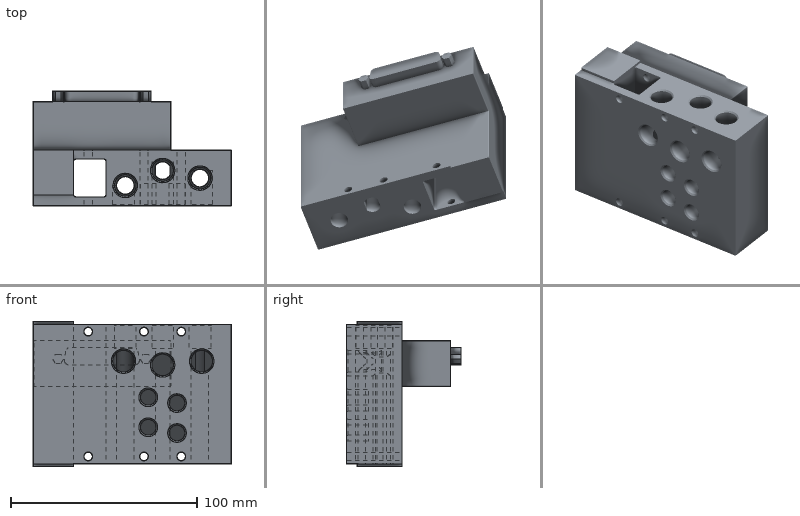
import cadquery as cq
import math

block_length = 106.7
block_depth = 30.0
block_height = 75.0
edge_radius = 0.5

plate_length = 21.9
plate_depth = 24.2
plate_thickness = 1.5
plate_edge_radius = 0.3

window_length = 17.3
window_depth = 20.2
window_front = 4.9
window_corner_radius = 1.0

housing_length = 74.0
housing_depth = 26.0
housing_base = 41.5
housing_height = 24.6
housing_back = block_depth + housing_depth

connector_projection = 5.7
shell_base = 53.1
shell_height = 9.5
shell_lower_width = 41.4
shell_side_angle = math.radians(10)
shell_corner_radius = 2.6
post_across_flats = 5.0
post_spacing = 47.1
post_height = 56.3

mount_diameter = 4.5
mount_x = (29.7, 59.6, 79.7)
mount_edge_distance = 4.0

large_port_diameter = 11.6
large_port_mouth = 13.1
small_port_diameter = 8.4
small_port_mouth = 10.0

passage_diameter = 9.4
passage_port_depth = 13.0
passage_spacing = 20.1
middle_x = 69.7
left_passage_y = 11.0
middle_passage_y = 19.0
right_passage_y = 14.9
middle_passage_width = 7.8

outer_port_spacing = 21.0
outer_port_z = 55.2
middle_port_z = 53.1
middle_port_depth = middle_passage_y + passage_diameter / 2
small_port_depth = 12.0
small_port_column_spacing = 15.5
left_column_z = 35.7
right_column_z = 32.7
small_port_pitch = 16.1


def box_at(x, y, z, length, depth, height):
    """Box with its lowest corner at (x, y, z)."""
    return cq.Workplane("XY").box(length, depth, height, centered=False).translate((x, y, z))


def port_cutter(diameter, mouth_diameter, depth):
    """Blind hole with a 45 degree mouth, opening at the origin and running toward -Z."""
    radius = diameter / 2
    mouth_radius = mouth_diameter / 2
    return (
        cq.Workplane("XZ")
        .polyline([
            (0, 0),
            (mouth_radius, 0),
            (radius, radius - mouth_radius),
            (radius, -depth),
            (0, -depth),
        ])
        .close()
        .revolve(360, (0, 0), (0, 1))
    )


def front_port(x, z, diameter, mouth_diameter, depth):
    """Port opening on the front face and running toward +Y."""
    cutter = port_cutter(diameter, mouth_diameter, depth)
    return cutter.rotate((0, 0, 0), (1, 0, 0), 90).translate((x, 0, z))


def vertical_passage(x, y, width):
    """Top port continued to the underside; a width below the bore diameter leaves two flats."""
    bore = cq.Workplane("XY").circle(passage_diameter / 2).extrude(block_height)
    flats = cq.Workplane("XY").rect(width, passage_diameter).extrude(block_height)
    port = port_cutter(large_port_diameter, large_port_mouth, passage_port_depth)
    return bore.intersect(flats).union(port.translate((0, 0, block_height))).translate((x, y, 0))


block = box_at(0, 0, 0, block_length, block_depth, block_height).edges("|Z").fillet(edge_radius)
for plate_z in (-plate_thickness, block_height):
    plate = box_at(0, block_depth - plate_depth, plate_z, plate_length, plate_depth, plate_thickness)
    block = block.union(plate.edges("|Z and <Y").fillet(plate_edge_radius))

window = (
    box_at(plate_length, window_front, 0, window_length, window_depth, block_height)
    .edges("|Z")
    .fillet(window_corner_radius)
)
block = block.cut(window)

passages = (
    (middle_x - passage_spacing, left_passage_y, passage_diameter),
    (middle_x, middle_passage_y, middle_passage_width),
    (middle_x + passage_spacing, right_passage_y, passage_diameter),
)
for x, y, width in passages:
    block = block.cut(vertical_passage(x, y, width))

large_ports = (
    (middle_x - outer_port_spacing, outer_port_z, left_passage_y),
    (middle_x, middle_port_z, middle_port_depth),
    (middle_x + outer_port_spacing, outer_port_z, middle_passage_y),
)
for x, z, depth in large_ports:
    block = block.cut(front_port(x, z, large_port_diameter, large_port_mouth, depth))

for x, upper_z in (
    (middle_x - small_port_column_spacing / 2, left_column_z),
    (middle_x + small_port_column_spacing / 2, right_column_z),
):
    for z in (upper_z, upper_z - small_port_pitch):
        block = block.cut(front_port(x, z, small_port_diameter, small_port_mouth, small_port_depth))

for x in mount_x:
    for z in (mount_edge_distance, block_height - mount_edge_distance):
        hole = cq.Workplane("XZ").center(x, z).circle(mount_diameter / 2).extrude(-block_depth)
        block = block.cut(hole)

housing = (
    box_at(0, block_depth, housing_base, housing_length, housing_depth, housing_height)
    .edges("|Y")
    .fillet(edge_radius)
)

bottom_half_width = shell_lower_width / 2
top_half_width = bottom_half_width - shell_height * math.tan(shell_side_angle)
connector_plane = cq.Workplane("XZ", origin=(housing_length / 2, housing_back, 0))
shell = (
    connector_plane
    .polyline([
        (-bottom_half_width, shell_base),
        (bottom_half_width, shell_base),
        (top_half_width, shell_base + shell_height),
        (-top_half_width, shell_base + shell_height),
    ])
    .close()
    .extrude(-connector_projection)
    .edges("|Y")
    .fillet(shell_corner_radius)
)

post_across_corners = post_across_flats / math.cos(math.pi / 6)
posts = (
    connector_plane
    .pushPoints([(-post_spacing / 2, post_height), (post_spacing / 2, post_height)])
    .polygon(6, post_across_corners)
    .extrude(-connector_projection)
)

result = block.union(housing).union(shell).union(posts)